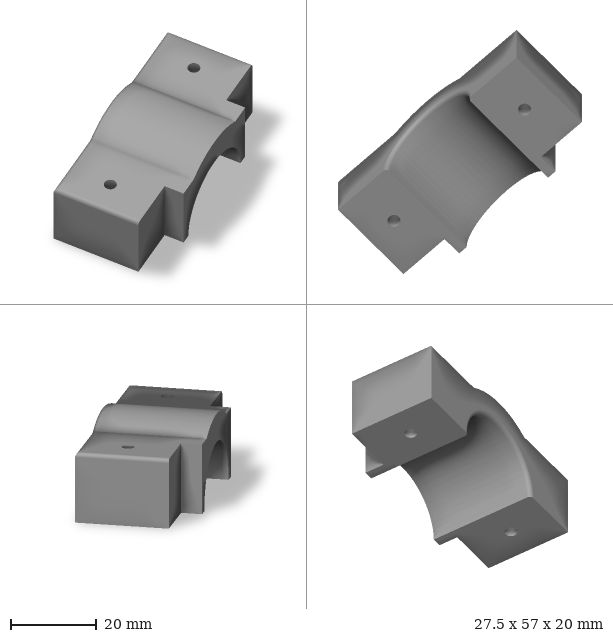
import cadquery as cq

length = 57.0
block_depth = 22.45
lip_depth = 5.0
lip_length = 30.8
shoulder_height = 17.0
crown_radius = 19.95
bore_radius = 13.0
edge_radius = 1.0
screw_diameter = 3.0
screw_spacing = 41.7
screw_x = 11.0

total_depth = block_depth + lip_depth


def half_cylinder(radius, depth):
    """Upper half of a cylinder running along +X from the front face."""
    return (
        cq.Workplane("YZ")
        .moveTo(-radius, 0)
        .threePointArc((0, radius), (radius, 0))
        .close()
        .extrude(depth)
    )


def crowned_bar(bar_length, depth):
    """Flat-shouldered bar with the round crown rising from its middle."""
    bar = cq.Workplane("XY").box(depth, bar_length, shoulder_height, centered=(False, True, False))
    crown_limit = cq.Workplane("XY").box(depth, lip_length, crown_radius, centered=(False, True, False))
    crown = half_cylinder(crown_radius, depth).intersect(crown_limit)
    crown = crown.cut(bar)
    return bar.union(crown)


block = crowned_bar(length, block_depth).cut(half_cylinder(bore_radius, block_depth))
front_edges = block.faces("<X").edges("not |Z")
front_edges = front_edges.filter(lambda edge: edge.Center().z > edge_radius)
end_edges = block.edges("|X").filter(
    lambda edge: abs(edge.Center().y) > lip_length / 2 and edge.Center().z > edge_radius
)
block = block.newObject(front_edges.vals() + end_edges.vals()).fillet(edge_radius)

lip = crowned_bar(lip_length, lip_depth).cut(half_cylinder(bore_radius, lip_depth))
body = block.union(lip.translate((block_depth, 0, 0)))

screw_holes = (
    cq.Workplane("XY")
    .pushPoints([(screw_x, side * screw_spacing / 2) for side in (-1, 1)])
    .circle(screw_diameter / 2)
    .extrude(shoulder_height)
)

result = body.cut(screw_holes).translate((-total_depth / 2, 0, 0))